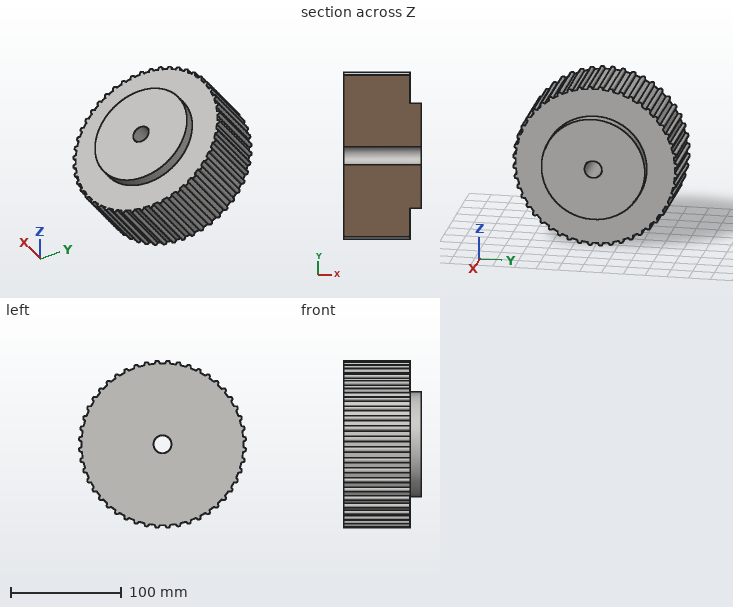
import cadquery as cq
import math

TOOTHED_WIDTH = 60.0
HUB_LENGTH = 10.0
HUB_DIAMETER = 95.0
BORE_DIAMETER = 16.0

TOOTH_COUNT = 48
OUTER_SPAN = 150.7
TOOTH_HEIGHT = 2.4
TIP_LAND = 0.83
TIP_ROUND = 1.28
FLANK_ANGLE = 25.0
OUTWARD = 90.0

TOOTH_PITCH = 360.0 / TOOTH_COUNT
HALF_PITCH = math.radians(TOOTH_PITCH / 2)
ROUND_CENTRE_HEIGHT = (
    OUTER_SPAN / 2 - TIP_ROUND - TIP_LAND / 2 * math.sin(HALF_PITCH)
) / math.cos(HALF_PITCH)
TIP_HEIGHT = ROUND_CENTRE_HEIGHT + TIP_ROUND
ROOT_RADIUS = TIP_HEIGHT - TOOTH_HEIGHT


def turned(point, degrees):
    """Turn a (y, z) point about the pulley axis."""
    y, z = point
    angle = math.radians(degrees)
    return (
        y * math.cos(angle) - z * math.sin(angle),
        y * math.sin(angle) + z * math.cos(angle),
    )


def round_point(degrees):
    """Point on the +Y tip rounding of an upright tooth, at an angle above the +Y direction."""
    angle = math.radians(degrees)
    return (
        TIP_LAND / 2 + TIP_ROUND * math.cos(angle),
        ROUND_CENTRE_HEIGHT + TIP_ROUND * math.sin(angle),
    )


def flank_foot():
    """Point where the +Y flank of an upright tooth meets the root circle."""
    lean = math.radians(FLANK_ANGLE)
    y, z = round_point(FLANK_ANGLE)
    inward = z * math.cos(lean) - y * math.sin(lean)
    step = inward - math.sqrt(inward**2 - (y**2 + z**2 - ROOT_RADIUS**2))
    return (y + step * math.sin(lean), z - step * math.cos(lean))


def mirrored(point):
    """Mirror a point across the centre line of an upright tooth."""
    return (-point[0], point[1])


def toothed_ring():
    foot = flank_foot()
    round_start = round_point(FLANK_ANGLE)
    round_middle = round_point((FLANK_ANGLE + OUTWARD) / 2)
    round_end = round_point(OUTWARD)
    gap_middle = turned((0, ROOT_RADIUS), TOOTH_PITCH / 2)
    next_foot = turned(foot, TOOTH_PITCH)

    first_turn = TOOTH_PITCH / 2
    outline = cq.Workplane("YZ").moveTo(*turned(foot, first_turn))
    for tooth in range(TOOTH_COUNT):
        turn = first_turn + tooth * TOOTH_PITCH
        outline = (
            outline.lineTo(*turned(round_start, turn))
            .threePointArc(turned(round_middle, turn), turned(round_end, turn))
            .lineTo(*turned(mirrored(round_end), turn))
            .threePointArc(turned(mirrored(round_middle), turn), turned(mirrored(round_start), turn))
            .lineTo(*turned(mirrored(foot), turn))
            .threePointArc(turned(gap_middle, turn), turned(next_foot, turn))
        )
    return outline.close().extrude(TOOTHED_WIDTH)


def hub():
    return cq.Workplane("YZ", origin=(TOOTHED_WIDTH, 0, 0)).circle(HUB_DIAMETER / 2).extrude(HUB_LENGTH)


def bore():
    return cq.Workplane("YZ").circle(BORE_DIAMETER / 2).extrude(TOOTHED_WIDTH + HUB_LENGTH)


result = toothed_ring().union(hub()).cut(bore())